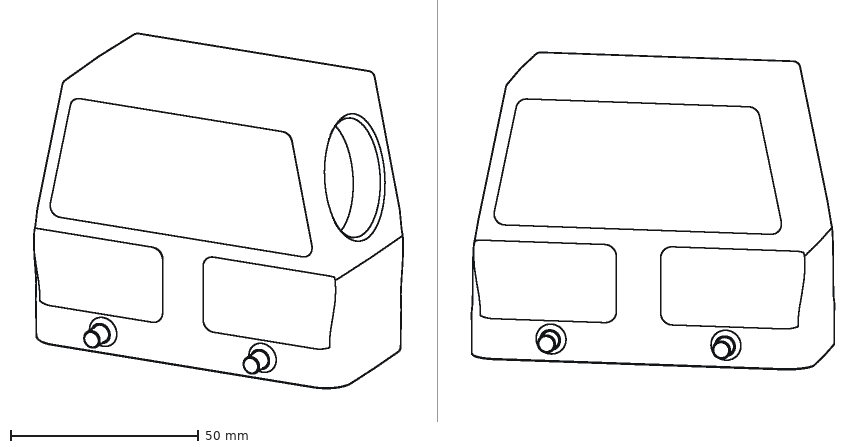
import cadquery as cq
import math

LENGTH = 93.5
HEIGHT = 76.0
PIN_SPAN = 57.0

DRAFT_ANGLE = 0.7
DRAFT_SLOPE = math.tan(math.radians(DRAFT_ANGLE))

SKIRT_TOP = 11.3
END_KINK = 30.9
KINK_BLEND = 0.23
HOOD_FOOT = END_KINK + KINK_BLEND
FLARE_START = 32.0
SHOULDER = 37.2

SKIRT_HALF_LENGTH = LENGTH / 2
KINK_HALF_LENGTH = 45.35
ROOF_HALF_LENGTH = 36.1
END_SLOPE = (KINK_HALF_LENGTH - ROOF_HALF_LENGTH) / (HEIGHT - END_KINK)
END_ANGLE = math.degrees(math.atan(END_SLOPE))

LOWER_HALF_WIDTH = 21.5
UPPER_HALF_WIDTH = 22.5

BASE_CORNER_RADIUS = 7.7
SKIRT_CORNER_RADIUS = 7.2
BASE_CHAMFER = 0.3
HOOD_EDGE_RADIUS = 2.1
FLARE_RADIUS = 4.3
CORNER_BLEND_STEPS = 6

WINDOW_DEPTH = 0.75
WINDOW_BOTTOM = 37.3
WINDOW_TOP = 71.2
WINDOW_BOTTOM_HALF_LENGTH = 39.3
WINDOW_TOP_HALF_LENGTH = 32.3
WINDOW_CORNER_RADIUS = 2.6
POCKET_DEPTH = 1.1
POCKET_BOTTOM = 11.7
POCKET_TOP = 31.9
POCKET_INNER_X = 6.5
POCKET_CORNER_RADIUS = 2.6
RECESS_WALL_TAPER = 25.0
RECESS_FLOOR_RADIUS = 0.5
RECESS_OVERCUT = 0.2

PIN_DIAMETER = 4.8
PIN_X = 23.75
PIN_Z = 6.2
PIN_TIP_CHAMFER = 0.3
COLLAR_BASE_DIAMETER = 8.1
COLLAR_TIP_DIAMETER = 5.5
COLLAR_LENGTH = 1.4

ENTRY_DIAMETER = 32.0
ENTRY_CHAMFER = 1.1
ENTRY_DEPTH = 9.35
ENTRY_Z = 53.1

CLEARANCE = 9.35
EDGE_MARGIN = 0.9


def end_half_length(z):
    """Half length of the sloping hood end at height z, on the parting plane."""
    return KINK_HALF_LENGTH - END_SLOPE * (z - END_KINK)


def lower_section(z, half_length, radius, half_width=LOWER_HALF_WIDTH):
    """Horizontal outline with drafted ends and four rounded corners."""
    corner_x = half_length - DRAFT_SLOPE * half_width
    points = [
        cq.Vector(half_length, 0, z),
        cq.Vector(corner_x, half_width, z),
        cq.Vector(-corner_x, half_width, z),
        cq.Vector(-half_length, 0, z),
        cq.Vector(-corner_x, -half_width, z),
        cq.Vector(corner_x, -half_width, z),
    ]
    outline = cq.Wire.makePolygon(points, close=True)
    corners = [v for v in outline.Vertices() if abs(v.Y) > half_width / 2]
    return outline.fillet2D(radius, corners)


def blend_section(step):
    """Outline between skirt and kink; the corner radius follows an S-curve."""
    t = step / CORNER_BLEND_STEPS
    ease = t * t * (3 - 2 * t)
    start = SKIRT_TOP + KINK_BLEND
    z = start + t * (END_KINK - KINK_BLEND - start)
    lean = (SKIRT_HALF_LENGTH - KINK_HALF_LENGTH) / (END_KINK - SKIRT_TOP)
    half_length = SKIRT_HALF_LENGTH - lean * (z - SKIRT_TOP)
    radius = SKIRT_CORNER_RADIUS + ease * (HOOD_EDGE_RADIUS - SKIRT_CORNER_RADIUS)
    return lower_section(z, half_length, radius)


def make_lower_body():
    """Skirt with a chamfered base, and the tapering body that rises from it to the hood."""
    sole = lower_section(
        0,
        SKIRT_HALF_LENGTH - BASE_CHAMFER,
        BASE_CORNER_RADIUS - BASE_CHAMFER,
        LOWER_HALF_WIDTH - BASE_CHAMFER,
    )
    base = lower_section(BASE_CHAMFER, SKIRT_HALF_LENGTH, BASE_CORNER_RADIUS)
    skirt_rim = lower_section(SKIRT_TOP - KINK_BLEND, SKIRT_HALF_LENGTH, SKIRT_CORNER_RADIUS)
    blend = [blend_section(step) for step in range(CORNER_BLEND_STEPS + 1)]
    hood_foot = lower_section(HOOD_FOOT, end_half_length(HOOD_FOOT), HOOD_EDGE_RADIUS)
    body = cq.Workplane(cq.Solid.makeLoft(blend))
    straight_layers = ((sole, base), (base, skirt_rim), (skirt_rim, blend[0]), (blend[-1], hood_foot))
    for below, above in straight_layers:
        body = body.union(cq.Workplane(cq.Solid.makeLoft([below, above], True)))
    return body


def is_hood_outer_edge(edge):
    """True for the roof edges and corner edges, false on the parting plane and at the foot."""
    centre = edge.Center()
    off_length_middle = abs(centre.x) > EDGE_MARGIN
    off_parting_plane = abs(centre.y) > EDGE_MARGIN
    on_long_side = abs(centre.y) > LOWER_HALF_WIDTH - EDGE_MARGIN
    on_roof = centre.z > HEIGHT - EDGE_MARGIN and off_parting_plane
    on_corner = off_length_middle and on_long_side
    return on_roof or on_corner


def make_hood():
    """Drafted trapezoid flared out above the waist: one half is rounded, then mirrored."""
    foot = HOOD_FOOT - CLEARANCE
    trapezoid = [
        (-end_half_length(foot), foot),
        (end_half_length(foot), foot),
        (ROOF_HALF_LENGTH, HEIGHT),
        (-ROOF_HALF_LENGTH, HEIGHT),
    ]
    block = cq.Workplane("XZ").polyline(trapezoid).close().extrude(UPPER_HALF_WIDTH, taper=DRAFT_ANGLE)
    cross_section = [
        (0, HOOD_FOOT),
        (-LOWER_HALF_WIDTH, HOOD_FOOT),
        (-LOWER_HALF_WIDTH, FLARE_START),
        (-UPPER_HALF_WIDTH, SHOULDER),
        (-UPPER_HALF_WIDTH, HEIGHT),
        (0, HEIGHT),
    ]
    envelope = cq.Workplane("YZ").polyline(cross_section).close().extrude(LENGTH / 2, both=True)
    half = block.intersect(envelope)
    for width, z in ((LOWER_HALF_WIDTH, FLARE_START), (UPPER_HALF_WIDTH, SHOULDER)):
        half = half.edges(cq.selectors.NearestToPointSelector((0, -width, z))).fillet(FLARE_RADIUS)
    rounded_edges = [edge for edge in half.edges().vals() if is_hood_outer_edge(edge)]
    half = half.newObject(rounded_edges).fillet(HOOD_EDGE_RADIUS)
    return half.union(half.mirror("XZ"))


def recess_cutter(outline, corner_radius, floor, depth):
    """Panel cutter for the -Y side, widening outwards from its floor."""
    sketch = cq.Sketch().polygon(outline + outline[:1]).vertices().fillet(corner_radius)
    plane = cq.Workplane("XZ", origin=(0, -floor, 0))
    cutter = plane.placeSketch(sketch).extrude(depth + RECESS_OVERCUT, taper=-RECESS_WALL_TAPER)
    return cutter.faces(">Y").edges().fillet(RECESS_FLOOR_RADIUS)


def cut_both_sides(body, cutter):
    return body.cut(cutter).cut(cutter.mirror("XZ"))


def cut_windows(body):
    outline = [
        (-WINDOW_BOTTOM_HALF_LENGTH, WINDOW_BOTTOM),
        (WINDOW_BOTTOM_HALF_LENGTH, WINDOW_BOTTOM),
        (WINDOW_TOP_HALF_LENGTH, WINDOW_TOP),
        (-WINDOW_TOP_HALF_LENGTH, WINDOW_TOP),
    ]
    floor = UPPER_HALF_WIDTH - WINDOW_DEPTH
    return cut_both_sides(body, recess_cutter(outline, WINDOW_CORNER_RADIUS, floor, WINDOW_DEPTH))


def cut_pockets(body):
    """Two pockets per side that run out through the ends and leave a rib between them."""
    outer = LENGTH / 2 + CLEARANCE
    floor = LOWER_HALF_WIDTH - POCKET_DEPTH
    for side in (-1, 1):
        outline = [
            (side * POCKET_INNER_X, POCKET_BOTTOM),
            (side * outer, POCKET_BOTTOM),
            (side * outer, POCKET_TOP),
            (side * POCKET_INNER_X, POCKET_TOP),
        ]
        cutter = recess_cutter(outline, POCKET_CORNER_RADIUS, floor, POCKET_DEPTH)
        body = cut_both_sides(body, cutter)
    return body


def make_pin(x):
    """Pin through both long sides with a conical collar on each."""
    pin = cq.Workplane("XZ", origin=(x, 0, PIN_Z)).circle(PIN_DIAMETER / 2)
    pin = pin.extrude(PIN_SPAN / 2, both=True).edges().chamfer(PIN_TIP_CHAMFER)
    for side in (-1, 1):
        collar = cq.Solid.makeCone(
            COLLAR_BASE_DIAMETER / 2,
            COLLAR_TIP_DIAMETER / 2,
            COLLAR_LENGTH,
            cq.Vector(x, side * LOWER_HALF_WIDTH, PIN_Z),
            cq.Vector(0, side, 0),
        )
        pin = pin.union(cq.Workplane(collar))
    return pin


def make_entry_cutter():
    """Blind bore with a chamfered mouth, square to the sloping +X end."""
    axis = cq.Plane(
        origin=(end_half_length(ENTRY_Z), 0, ENTRY_Z),
        xDir=(0, 1, 0),
        normal=(math.cos(math.radians(END_ANGLE)), 0, math.sin(math.radians(END_ANGLE))),
    )
    profile = [
        (0, -ENTRY_DEPTH),
        (ENTRY_DIAMETER / 2, -ENTRY_DEPTH),
        (ENTRY_DIAMETER / 2, -ENTRY_CHAMFER),
        (ENTRY_DIAMETER / 2 + 2 * ENTRY_CHAMFER, ENTRY_CHAMFER),
        (0, ENTRY_CHAMFER),
    ]
    cutter = cq.Workplane("XY").polyline(profile).close().revolve(360, (0, 0), (0, 1))
    upright = cutter.rotate((0, 0, 0), (1, 0, 0), 90)
    return cq.Workplane(upright.val().moved(cq.Location(axis)))


result = make_lower_body().union(make_hood())
result = cut_windows(result)
result = cut_pockets(result)
for pin_x in (-PIN_X, PIN_X):
    result = result.union(make_pin(pin_x))
result = result.cut(make_entry_cutter())